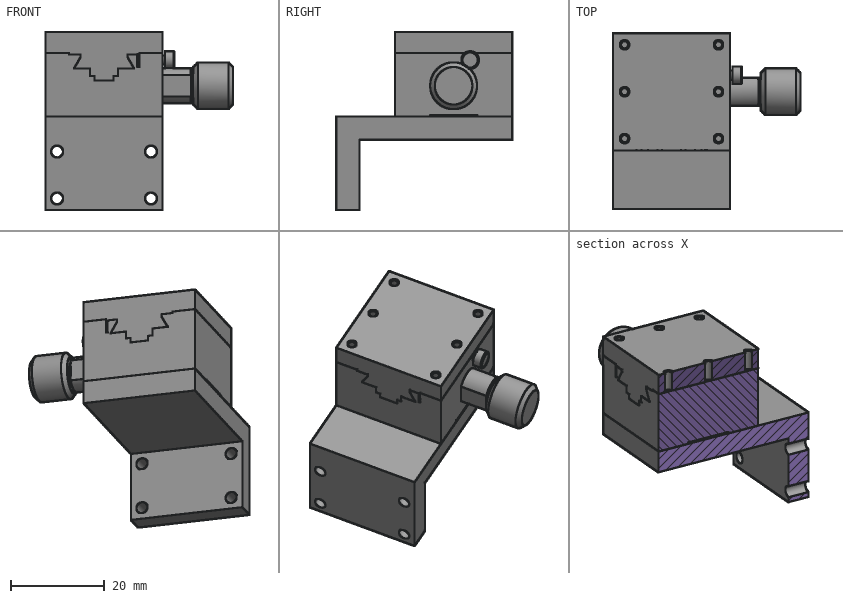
import cadquery as cq
import math


stage_side = 25.0
bracket_overhang = stage_side / 2
leg_height = 20.0
plate_thickness = 5.0
stage_height = 18.0
stage_front = bracket_overhang
stage_back = stage_front + stage_side
stage_bottom = leg_height
stage_top = stage_bottom + stage_height
center_x = stage_side / 2
center_y = stage_front + stage_side / 2

hole_span = 20.0
hole_pitch = hole_span / 2
hole_edge = (stage_side - hole_span) / 2
leg_hole_diameter = 2.5
tapped_hole_diameter = 1.55
tapped_hole_mouth = 2.0

step_width = 15.0
neck_width = 10.0
dovetail_width = 12.8
rail_width = 6.0
tip_width = 4.0
slide_edge_depth = 4.5
step_depth = 4.8
dovetail_depth = 7.8
rail_depth = 9.35
tip_depth = 10.4
dovetail_angle = 60.0
dovetail_rise = (dovetail_width - neck_width) / 2 * math.tan(math.radians(dovetail_angle))

slot_width = 0.4
slot_bottom_depth = 7.45
slot_right = center_x + step_width / 2
slot_left = slot_right - slot_width
relief_width = 10.0
relief_height = 0.2

screw_y = center_y + 3.5
screw_z = stage_top - 6.0
screw_shank_diameter = 2.0
screw_tip_gap = 0.1
screw_head_gap = 0.5
screw_head_diameter = 3.75
screw_head_length = 2.1
screw_head_chamfer = 0.25

knob_z = stage_top - 11.5
stem_diameter = 7.5
stem_flats = 6.0
stem_length = 6.0
collar_diameter = 5.4
collar_length = 0.5
knob_diameter = 10.0
knob_chamfer = 1.0
total_length = 40.0
stem_end = stage_side + stem_length
knob_start = stem_end + collar_length
knob_length = total_length - knob_start


def box(x0, x1, y0, y1, z0, z1):
    """Box between two opposite corners."""
    return cq.Workplane("XY").box(x1 - x0, y1 - y0, z1 - z0, centered=False).translate((x0, y0, z0))


def rod(x0, length, y, z, diameter):
    """Cylinder along +X that starts at x0."""
    return cq.Workplane("YZ", origin=(x0, y, z)).circle(diameter / 2).extrude(length)


def make_bracket():
    """L-shaped bracket: a plate under the stage and a drilled leg at the front."""
    plate = box(0, stage_side, 0, stage_back, leg_height - plate_thickness, leg_height)
    leg = box(0, stage_side, 0, plate_thickness, 0, leg_height)
    leg_holes = (
        cq.Workplane("XZ")
        .pushPoints([(x, z) for x in (hole_edge, hole_edge + hole_span)
                     for z in (hole_edge, hole_edge + hole_pitch)])
        .circle(leg_hole_diameter / 2)
        .extrude(-plate_thickness)
    )
    return plate.union(leg).cut(leg_holes)


def slide_section():
    """Slide without holes: a flat plate with a stepped dovetail rail below it."""
    half_section = [
        (stage_side / 2, slide_edge_depth),
        (step_width / 2, slide_edge_depth),
        (step_width / 2, step_depth),
        (neck_width / 2, step_depth),
        (neck_width / 2, dovetail_depth - dovetail_rise),
        (dovetail_width / 2, dovetail_depth),
        (rail_width / 2, dovetail_depth),
        (rail_width / 2, rail_depth),
        (tip_width / 2, rail_depth),
        (tip_width / 2, tip_depth),
    ]
    right = [(center_x + x, stage_top - depth) for x, depth in half_section]
    left = [(center_x - x, stage_top - depth) for x, depth in reversed(half_section)]
    outline = [(stage_side, stage_top), *right, *left, (0, stage_top)]
    return cq.Workplane("XZ", origin=(0, stage_front, 0)).polyline(outline).close().extrude(-stage_side)


def make_slide():
    """Slide with two rows of tapped holes through its plate, countersunk at the top."""
    countersink_angle = 90
    return (
        slide_section()
        .faces(">Z")
        .workplane(origin=(center_x, center_y, stage_top))
        .rarray(hole_span, hole_pitch, 2, 3)
        .cskHole(tapped_hole_diameter, tapped_hole_mouth, countersink_angle, depth=slide_edge_depth)
    )


def make_clamp_screw():
    """Screw that crosses the slot of the base and ends just short of the slot's far wall."""
    tip_x = slot_left + screw_tip_gap
    head_x = stage_side + screw_head_gap
    shank = rod(tip_x, head_x - tip_x, screw_y, screw_z, screw_shank_diameter)
    head = rod(head_x, screw_head_length, screw_y, screw_z, screw_head_diameter)
    return shank.union(head.faces(">X").chamfer(screw_head_chamfer))


def make_base():
    """Base that fits around the slide's rail, with its clamp screw in place."""
    block = box(0, stage_side, stage_front, stage_back, stage_bottom, stage_top)
    slot = box(slot_left, slot_right, stage_front, stage_back,
               stage_top - slot_bottom_depth, stage_top - step_depth)
    relief = box(0, stage_side, center_y - relief_width / 2, center_y + relief_width / 2,
                 stage_bottom, stage_bottom + relief_height)
    return block.cut(slide_section()).cut(slot).cut(relief).union(make_clamp_screw())


def make_knob():
    """Knob on a collar and a round stem with two vertical flats."""
    stem = rod(stage_side, stem_length, center_y, knob_z, stem_diameter)
    flats = box(stage_side, stem_end, center_y - stem_flats / 2, center_y + stem_flats / 2,
                knob_z - stem_diameter / 2, knob_z + stem_diameter / 2)
    collar = rod(stem_end, collar_length, center_y, knob_z, collar_diameter)
    grip = rod(knob_start, knob_length, center_y, knob_z, knob_diameter)
    grip = grip.faces("<X or >X").chamfer(knob_chamfer)
    return stem.intersect(flats).union(collar).union(grip)


bracket = make_bracket()
slide = make_slide()
base = make_base()
knob = make_knob()

result = cq.Compound.makeCompound([bracket.val(), base.val(), slide.val(), knob.val()])